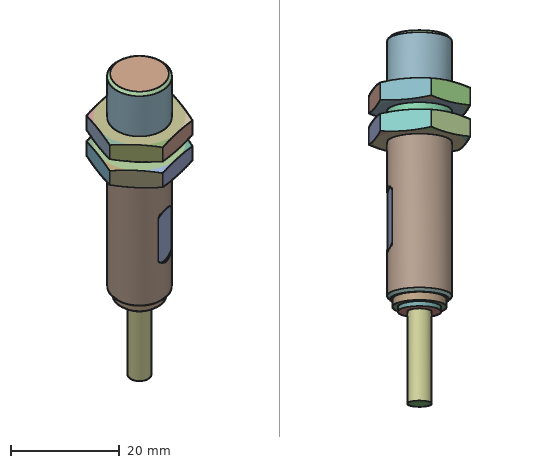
import cadquery as cq
import math

body_diameter = 12.0
body_length = 50.0
body_chamfer = 0.6

large_collar_diameter = 10.0
large_collar_end = 51.5
small_collar_diameter = 8.0
small_collar_end = 52.4
cable_diameter = 4.5
overall_length = 70.0

nut_count = 2
nut_sides = 6
nut_across_flats = 17.0
nut_height = 4.0
nut_gap = 2.0
first_nut_top = 10.0
nut_chamfer_circle = 17.0
nut_chamfer_angle = 15.0

recess_width = 5.0
recess_length = 12.3
recess_top = 28.85
recess_depth = 0.4


def cylinder(diameter, top_depth, bottom_depth):
    """Upright cylinder between two depths below the sensing face."""
    height = bottom_depth - top_depth
    return cq.Workplane("XY").workplane(offset=-bottom_depth).circle(diameter / 2).extrude(height)


def make_body():
    body = cylinder(body_diameter, 0, body_length)
    return body.faces("<Z or >Z").chamfer(body_chamfer)


def make_recess():
    """Slot-shaped cutter whose floor is parallel to the YZ plane."""
    center_z = -(recess_top + recess_length / 2)
    floor_x = body_diameter / 2 - recess_depth
    return (
        cq.Workplane("YZ", origin=(floor_x, 0, center_z))
        .slot2D(recess_length, recess_width, 90)
        .extrude(body_diameter / 2)
    )


def make_nut(top_depth):
    """Hexagonal nut with its corners turned to a cone at both ends."""
    across_corners = nut_across_flats / math.cos(math.pi / nut_sides)
    corner_radius = across_corners / 2
    face_radius = nut_chamfer_circle / 2
    corner_drop = (corner_radius - face_radius) * math.tan(math.radians(nut_chamfer_angle))
    top_z = -top_depth
    bottom_z = top_z - nut_height
    hexagon = (
        cq.Workplane("XY", origin=(0, 0, bottom_z))
        .transformed(rotate=(0, 0, 90))
        .polygon(nut_sides, across_corners)
        .extrude(nut_height)
    )
    turned_envelope = (
        cq.Workplane("XZ")
        .moveTo(0, bottom_z)
        .lineTo(face_radius, bottom_z)
        .lineTo(corner_radius, bottom_z + corner_drop)
        .lineTo(corner_radius, top_z - corner_drop)
        .lineTo(face_radius, top_z)
        .lineTo(0, top_z)
        .close()
        .revolve(360, (0, 0, 0), (0, 1, 0))
    )
    return hexagon.intersect(turned_envelope)


result = make_body().cut(make_recess())
result = result.union(cylinder(large_collar_diameter, body_length, large_collar_end))
result = result.union(cylinder(small_collar_diameter, large_collar_end, small_collar_end))
result = result.union(cylinder(cable_diameter, small_collar_end, overall_length))
for nut_index in range(nut_count):
    nut_top = first_nut_top + nut_index * (nut_height + nut_gap)
    result = result.union(make_nut(nut_top))